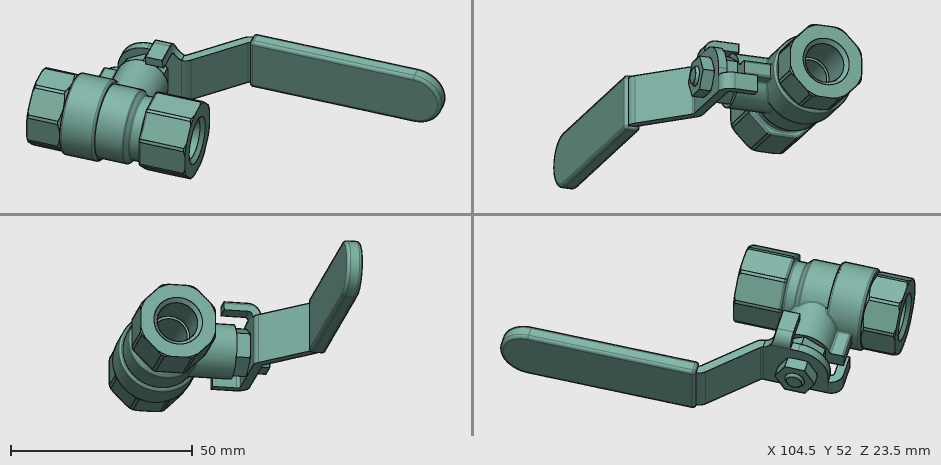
import cadquery as cq
import math


total_length = 104.5
total_depth = 52.0
total_height = 23.5

body_length = 46.1
collar_radius = 11.5
collar_start = 9.8
collar_end = 19.9
collar_fillet = 0.6
barrel_radius = 10.5
barrel_end = 28.0
waist_radius = 9.1
waist_start = barrel_end + (barrel_radius - waist_radius)
waist_end = 32.6
waist_fillet = 0.4

octagon_flats = 21.0
octagon_corner_radius = 11.2
left_shoulder_radius = 10.3
shoulder_fillet = 0.5
end_bevel = 0.4

bore_radius = 4.9
socket_radius = 5.6
socket_depth = 12.5
mouth_radius = 6.8
mouth_depth = mouth_radius - socket_radius

stem_x = 23.4
neck_radius = 7.5
neck_top = 19.4
rib_reach = 11.3
rib_width = 4.2
rib_fillet = 0.5
neck_foot_fillet = 0.3
gland_flats = 12.0
gland_turn = 0
stem_radius = 2.8
stem_tip_rise = 0.8
stem_tip_bevel = 0.6

plate = 2.5
lever_bottom = 23.5
lever_top = lever_bottom + plate
lever_middle = lever_bottom + plate / 2
bend_inner_radius = 0.9
bend_outer_radius = bend_inner_radius + plate
arm_half_width = 7.0
head_radius = 8.6
tab_start = 2.2
tab_reach = total_height - collar_radius
tab_bottom = 15.9
tab_root_radius = 5.0
arm_bend_offset = 10.9
arm_slope = math.radians(45)
head_end = arm_bend_offset - (bend_inner_radius + plate / 2) * math.tan(arm_slope / 2)

grip_wall = 0.9
grip_thickness = plate + 2 * grip_wall
grip_half_width = arm_half_width + grip_wall
grip_start = 48.8
grip_top = total_depth - collar_radius
grip_middle = grip_top - grip_thickness / 2

nut_flats = 9.8
nut_height = 3.5
nut_turn = 30
nut_top = lever_top + nut_height
hex_bevel = 0.3

edge_margin = 0.05
touching_gap = 0.001


def turned(profile):
    """Revolve a closed (x, radius) outline about the bore axis."""
    return cq.Workplane("XY").polyline(profile).close().revolve(360, (0, 0, 0), (1, 0, 0))


def circle_at(x, radius):
    """Selector for a circular edge of given radius around the bore axis."""
    reach = radius + edge_margin
    return cq.selectors.BoxSelector(
        (x - edge_margin, -reach, -reach), (x + edge_margin, reach, reach), boundingbox=True
    )


def disc_on_stem(radius, bottom, top):
    """Cylinder on the stem axis between two heights."""
    return (
        cq.Workplane("XZ", origin=(stem_x, bottom, 0))
        .circle(radius)
        .extrude(-(top - bottom))
    )


def hexagon_on_stem(flats, bottom, top, turn):
    """Hexagonal prism on the stem axis, turned from flats facing +X and -X."""
    return (
        cq.Workplane("XZ", origin=(stem_x, bottom, 0))
        .transformed(rotate=(0, 0, turn))
        .polygon(6, flats, circumscribed=True)
        .extrude(-(top - bottom))
    )


def hexagon_bevel(flats, plain_end, beveled_end):
    """Turned envelope that bevels the hexagon corners at one end."""
    corner_radius = flats / 2 / math.cos(math.pi / 6)
    envelope = disc_on_stem(corner_radius, min(plain_end, beveled_end), max(plain_end, beveled_end))
    selector = ">Y" if beveled_end > plain_end else "<Y"
    return envelope.faces(selector).chamfer(hex_bevel)


def octagon_end(profile):
    """Turned blank with eight wrench flats, two of them facing +Z and -Z."""
    flats = (
        cq.Workplane("YZ")
        .polygon(8, octagon_flats, circumscribed=True)
        .extrude(body_length)
    )
    return turned(profile).intersect(flats)


def make_left_end():
    bevel = octagon_corner_radius - left_shoulder_radius
    return octagon_end([
        (0, 0),
        (0, octagon_corner_radius - end_bevel),
        (end_bevel, octagon_corner_radius),
        (collar_start - bevel, octagon_corner_radius),
        (collar_start, left_shoulder_radius),
        (collar_start, 0),
    ])


def make_right_end():
    blank = octagon_end([
        (waist_end, 0),
        (waist_end, octagon_corner_radius),
        (body_length - end_bevel, octagon_corner_radius),
        (body_length, octagon_corner_radius - end_bevel),
        (body_length, 0),
    ])
    return blank.faces("<X").edges().fillet(shoulder_fillet)


def make_collar():
    return (
        cq.Workplane("YZ", origin=(collar_start, 0, 0))
        .circle(collar_radius)
        .extrude(collar_end - collar_start)
        .edges()
        .fillet(collar_fillet)
    )


def make_barrel():
    """Barrel and waist, with a flange that roots the waist in the right-hand octagon."""
    flange_radius = waist_radius + 2 * waist_fillet
    barrel = turned([
        (collar_start, 0),
        (collar_start, barrel_radius),
        (barrel_end, barrel_radius),
        (waist_start, waist_radius),
        (waist_end, waist_radius),
        (waist_end, flange_radius),
        (waist_end + shoulder_fillet, flange_radius),
        (waist_end + shoulder_fillet, 0),
    ])
    for corner in [(barrel_end, barrel_radius), (waist_start, waist_radius), (waist_end, waist_radius)]:
        barrel = barrel.edges(circle_at(*corner)).fillet(waist_fillet)
    return barrel


def make_neck():
    """Cylindrical neck with the rib that stops the lever tabs."""
    rib = (
        cq.Workplane("XY")
        .box(rib_reach, neck_top, rib_width, centered=(False, False, True))
        .translate((stem_x - rib_reach, 0, 0))
        .edges("|Y and <X")
        .fillet(rib_fillet)
    )
    neck = disc_on_stem(neck_radius, 0, neck_top).union(rib)
    root_x = stem_x - math.sqrt(neck_radius**2 - (rib_width / 2) ** 2)
    root_edges = cq.selectors.BoxSelector(
        (root_x - edge_margin, 0, -rib_width),
        (root_x + edge_margin, neck_top, rib_width),
    )
    return neck.edges("|Y").edges(root_edges).fillet(rib_fillet)


def make_bore():
    return turned([
        (0, 0),
        (0, mouth_radius),
        (mouth_depth, socket_radius),
        (socket_depth, socket_radius),
        (socket_depth, bore_radius),
        (body_length - socket_depth, bore_radius),
        (body_length - socket_depth, socket_radius),
        (body_length - mouth_depth, socket_radius),
        (body_length, mouth_radius),
        (body_length, 0),
    ])


def blend_neck(turned_body, neck):
    """Join the neck to the turned body and fillet the line where they meet."""

    def on_neck_foot(edge):
        middle = edge.positionAt(0.5)
        gap = neck.val().distance(cq.Vertex.makeVertex(*middle.toTuple()))
        return gap < touching_gap and 0 < middle.y < collar_radius and edge.geomType() != "LINE"

    return turned_body.union(neck).edges().filter(on_neck_foot).fillet(neck_foot_fillet)


def make_valve_body():
    gland = hexagon_on_stem(gland_flats, neck_top, lever_bottom, gland_turn)
    gland = gland.intersect(hexagon_bevel(gland_flats, neck_top, lever_bottom))
    stem = disc_on_stem(stem_radius, neck_top, nut_top + stem_tip_rise)
    stem = stem.faces(">Y").chamfer(stem_tip_rise, stem_tip_bevel)
    turned_body = make_barrel().union(make_collar()).union(make_left_end()).union(make_right_end())
    return blend_neck(turned_body, make_neck()).cut(make_bore()).union(gland).union(stem)


def bent_plate(path, z_start, z_end):
    """Plate of constant thickness along an XY centre path, with rounded bends."""
    sides = {1: [], -1: []}
    headings = [
        math.atan2(end[1] - start[1], end[0] - start[0])
        for start, end in zip(path, path[1:])
    ]
    before = [headings[0]] + headings
    after = headings + [headings[-1]]
    for side, points in sides.items():
        for (x, y), heading_in, heading_out in zip(path, before, after):
            normal = (heading_in + heading_out + math.pi) / 2
            reach = side * plate / 2 / math.cos((heading_out - heading_in) / 2)
            points.append((x + reach * math.cos(normal), y + reach * math.sin(normal)))
    solid = (
        cq.Workplane("XY", origin=(0, 0, z_start))
        .polyline(sides[1] + sides[-1][::-1])
        .close()
        .extrude(z_end - z_start)
    )
    for index in range(1, len(path) - 1):
        turns_left = after[index] > before[index]
        for side, points in sides.items():
            radius = bend_inner_radius if (side == 1) == turns_left else bend_outer_radius
            corner = (*points[index], (z_start + z_end) / 2)
            solid = solid.edges("|Z").edges(cq.selectors.NearestToPointSelector(corner)).fillet(radius)
    return solid


def make_lever_outline():
    """Flat outline of head, tabs and arm, standing over the full lever height."""
    arm_end = grip_start + grip_wall - stem_x
    root_run = head_end - arm_half_width
    root_rise = math.sqrt(tab_root_radius**2 - (tab_root_radius - root_run) ** 2)
    return (
        cq.Workplane("XZ", origin=(stem_x, 0, 0))
        .moveTo(-head_radius, 0)
        .radiusArc((0, head_radius), head_radius)
        .lineTo(tab_start, head_radius)
        .lineTo(tab_start, tab_reach)
        .lineTo(arm_half_width, tab_reach)
        .lineTo(arm_half_width, arm_half_width + root_rise)
        .radiusArc((head_end, arm_half_width), -tab_root_radius)
        .lineTo(arm_end, arm_half_width)
        .lineTo(arm_end, -arm_half_width)
        .lineTo(-tab_reach, -arm_half_width)
        .lineTo(-tab_reach, -tab_start)
        .lineTo(-head_radius, -tab_start)
        .close()
        .extrude(-total_depth)
    )


def make_grip():
    return (
        cq.Workplane("XZ", origin=(0, grip_top - grip_thickness, 0))
        .moveTo(grip_start, grip_half_width)
        .lineTo(total_length - grip_half_width, grip_half_width)
        .threePointArc((total_length, 0), (total_length - grip_half_width, -grip_half_width))
        .lineTo(grip_start, -grip_half_width)
        .close()
        .extrude(-grip_thickness)
        .edges("|Y and <X")
        .fillet(grip_wall)
        .faces("<Y or >Y")
        .edges()
        .fillet(grip_wall)
    )


def make_lever():
    """Head with two bent stop tabs, sloping arm and grip."""
    tab_middle = tab_reach - plate / 2
    bend_x = stem_x + arm_bend_offset
    slope_run = (grip_middle - lever_middle) / math.tan(arm_slope)
    arm = bent_plate(
        [
            (stem_x - tab_middle, tab_bottom),
            (stem_x - tab_middle, lever_middle),
            (bend_x, lever_middle),
            (bend_x + slope_run, grip_middle),
            (grip_start + 2 * grip_wall, grip_middle),
        ],
        -arm_half_width,
        head_radius,
    )
    side_tab = bent_plate(
        [(-tab_middle, tab_bottom), (-tab_middle, lever_middle), (0, lever_middle)],
        tab_start,
        head_radius,
    )
    side_tab = side_tab.rotate((0, 0, 0), (0, 1, 0), 90).translate((stem_x, 0, 0))
    return (
        arm.union(side_tab)
        .intersect(make_lever_outline())
        .union(make_grip())
        .cut(disc_on_stem(stem_radius, lever_bottom, lever_top))
    )


def make_nut():
    nut = hexagon_on_stem(nut_flats, lever_top, nut_top, nut_turn)
    nut = nut.intersect(hexagon_bevel(nut_flats, nut_top, lever_top))
    return nut.cut(disc_on_stem(stem_radius, lever_top, nut_top))


valve_body = make_valve_body().solids()
lever = make_lever().solids()
nut = make_nut().solids()

result = cq.Compound.makeCompound([valve_body.val(), lever.val(), nut.val()])